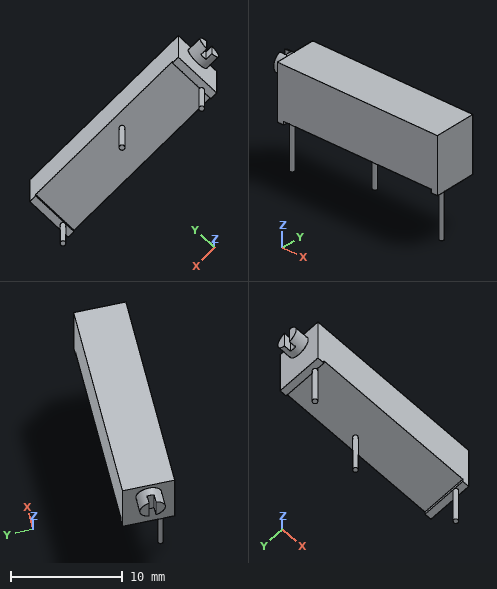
import cadquery as cq


body_length = 19.05
body_width = 4.83
body_height = 6.35
standoff_height = 0.38
foot_length = 0.76

screw_diameter = 2.36
screw_length = 1.52
screw_drop = 1.65
slot_width = 0.635
slot_depth = screw_length / 2

pin_diameter = 0.51
pin_length = 5.33
grid = 2.54
middle_pin_pitch = 3 * grid
last_pin_pitch = 7 * grid
first_pin_x = 0.765
row_offset = grid / 2
pin_positions = [
    (first_pin_x, -row_offset),
    (first_pin_x + middle_pin_pitch, row_offset),
    (first_pin_x + last_pin_pitch, -row_offset),
]


def make_housing():
    """Solid block with the underside relieved between the two end feet."""
    block = cq.Workplane("XY").box(body_length, body_width, body_height, centered=(False, True, False))
    relief = (
        cq.Workplane("XY")
        .box(body_length - 2 * foot_length, body_width, standoff_height, centered=(False, True, False))
        .translate((foot_length, 0, 0))
    )
    return block.cut(relief)


def make_screw():
    """Cylinder along X with a vertical screwdriver slot across its free end."""
    cylinder = cq.Workplane("YZ").circle(screw_diameter / 2).extrude(-screw_length)
    slot = (
        cq.Workplane("XY")
        .box(slot_depth, slot_width, screw_diameter, centered=(False, True, True))
        .translate((-screw_length, 0, 0))
    )
    return cylinder.cut(slot).translate((0, 0, body_height - screw_drop))


def make_pins():
    """Round pins running from the relieved underside down past the feet."""
    return (
        cq.Workplane("XY")
        .workplane(offset=-pin_length)
        .pushPoints(pin_positions)
        .circle(pin_diameter / 2)
        .extrude(pin_length + standoff_height)
    )


result = make_housing().union(make_screw()).union(make_pins())